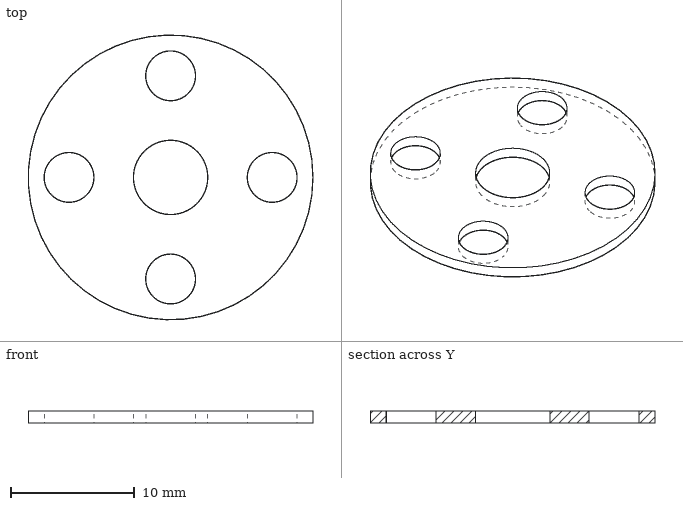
import cadquery as cq

disc_diameter = 23.0
disc_thickness = 1.0
bore_diameter = 5.98
bolt_hole_diameter = 4.0
bolt_circle_diameter = 16.4
bolt_hole_count = 4

disc = (
    cq.Workplane("XY")
    .circle(disc_diameter / 2)
    .circle(bore_diameter / 2)
    .extrude(disc_thickness)
)

result = (
    disc.faces(">Z")
    .workplane(origin=(0, 0, disc_thickness))
    .polarArray(bolt_circle_diameter / 2, 0, 360, bolt_hole_count)
    .hole(bolt_hole_diameter)
)